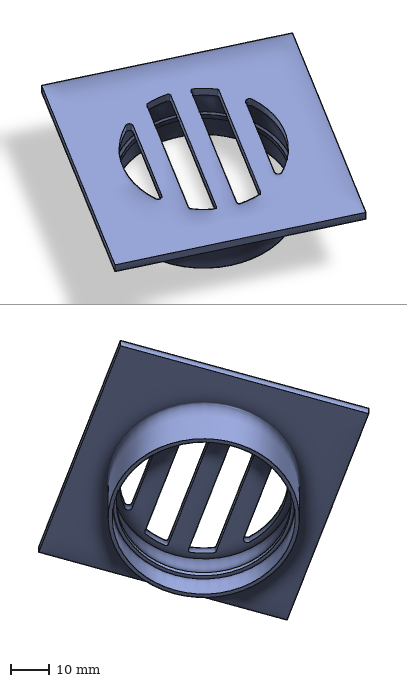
import cadquery as cq

plate_side = 68.0
plate_thickness = 2.5
total_height = 19.0

spigot_outer_diameter = 49.7
spigot_inner_diameter = 47.5
spigot_length = total_height - plate_thickness
root_fillet = 0.5

ledge_width = 1.0
ledge_height = 1.4
ledge_depth = 10.5

grate_diameter = 44.0
bar_width = 5.5
slot_width = 7.0
inner_slot_corner_radius = 0.7
outer_slot_corner_radius = 1.0


def make_body():
    """Square plate with its underside at Z = 0 and the spigot hanging below."""
    plate = cq.Workplane("XY").rect(plate_side, plate_side).extrude(plate_thickness)
    spigot = cq.Workplane("XY").circle(spigot_outer_diameter / 2).extrude(-spigot_length)
    body = plate.union(spigot)
    root_edge = cq.selectors.BoxSelector(
        (-plate_side, -plate_side, -root_fillet),
        (plate_side, plate_side, root_fillet),
        boundingbox=True,
    )
    body = body.edges("%CIRCLE").edges(root_edge).fillet(root_fillet)
    bore = cq.Workplane("XY").circle(spigot_inner_diameter / 2).extrude(-spigot_length)
    return body.cut(bore)


def make_ledge():
    """Ring that overlaps the spigot wall and narrows the bore."""
    bore_radius = spigot_inner_diameter / 2
    mid_wall_radius = (spigot_inner_diameter + spigot_outer_diameter) / 4
    return (
        cq.Workplane("XY")
        .workplane(offset=plate_thickness - ledge_depth)
        .circle(mid_wall_radius)
        .circle(bore_radius - ledge_width)
        .extrude(-ledge_height)
    )


def make_slot(center_y, corner_radius):
    """Cutter for one opening: a strip of the grate circle with rounded corners."""
    disc = cq.Workplane("XY").circle(grate_diameter / 2).extrude(plate_thickness)
    strip = (
        cq.Workplane("XY")
        .center(0, center_y)
        .rect(grate_diameter, slot_width)
        .extrude(plate_thickness)
    )
    return disc.intersect(strip).edges("|Z").fillet(corner_radius)


result = make_body().union(make_ledge())
slot_pitch = bar_width + slot_width
for side in (-1, 1):
    inner_slot = make_slot(side * slot_pitch / 2, inner_slot_corner_radius)
    outer_slot = make_slot(side * slot_pitch * 3 / 2, outer_slot_corner_radius)
    result = result.cut(inner_slot).cut(outer_slot)